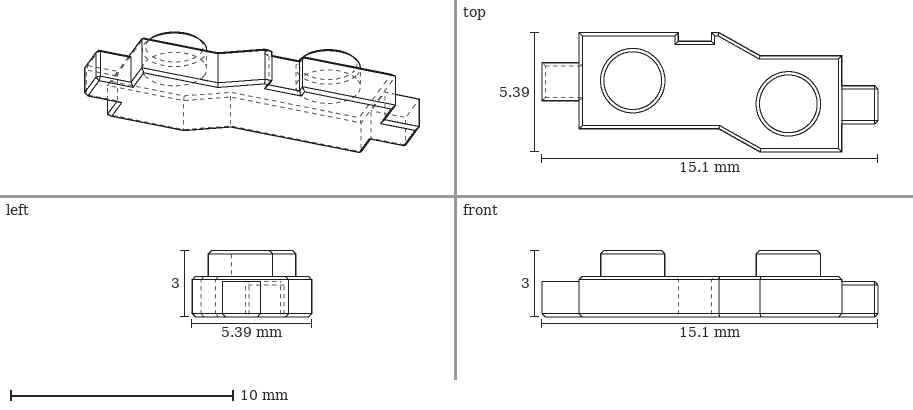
import cadquery as cq

total_length = 15.13
total_width = 5.39
total_height = 3.0
edge_chamfer = 0.15

plate_height = 1.83
plate_start = 1.66
plate_end = 13.5
jog_offset = 1.05
plate_width = total_width - jog_offset
jog_start = 7.96
jog_end = 9.82

notch_start = 6.15
notch_end = 7.63
notch_depth = 0.4

stud_diameter = 2.9
stud_positions = [4.09, 11.09]

bar_width = 1.72
bar_height = 1.6
bar_side_shift = 0.05
bar_overlap = 0.3

left_center_y = jog_offset + plate_width / 2
right_center_y = plate_width / 2


def make_plate():
    notch_floor = total_width - notch_depth
    outline = [
        (plate_start, jog_offset),
        (jog_start, jog_offset),
        (jog_end, 0),
        (plate_end, 0),
        (plate_end, plate_width),
        (jog_end, plate_width),
        (jog_start, total_width),
        (notch_end, total_width),
        (notch_end, notch_floor),
        (notch_start, notch_floor),
        (notch_start, total_width),
        (plate_start, total_width),
    ]
    plate = cq.Workplane("XY").polyline(outline).close().extrude(plate_height)
    return plate.faces("<Z or >Z").edges().chamfer(edge_chamfer)


def make_stud(x, y):
    base = plate_height / 2
    stud = cq.Workplane("XY", origin=(x, y, base)).circle(stud_diameter / 2).extrude(total_height - base)
    return stud.faces(">Z").edges().chamfer(edge_chamfer)


def make_bar(start, end, plate_center_y):
    corner = (start, plate_center_y - bar_side_shift - bar_width / 2, 0)
    return cq.Workplane("XY").box(end - start, bar_width, bar_height, centered=False).translate(corner)


left_bar = make_bar(0, plate_start + bar_overlap, left_center_y)
left_bar = left_bar.faces("<Z").edges("<X or |X").chamfer(edge_chamfer)
right_bar = make_bar(plate_end - bar_overlap, total_length, right_center_y)
right_bar = right_bar.edges("not(<X)").chamfer(edge_chamfer)

result = make_plate().union(left_bar).union(right_bar)
for stud_x, stud_y in zip(stud_positions, [left_center_y, right_center_y]):
    result = result.union(make_stud(stud_x, stud_y))